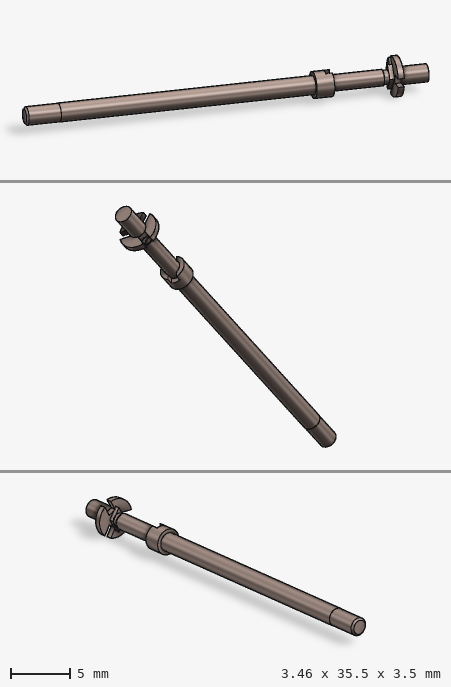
import cadquery as cq
import math

overall_length = 35.5
tip_length = 3.0
collar_front = 25.5
collar_length = 1.55
neck_start = 31.6
key_length = 0.43
disc_front = 32.5
disc_thickness = 0.55

tip_diameter = 1.6
barrel_diameter = 1.65
collar_diameter = 2.3
shank_diameter = 1.42
neck_diameter = 1.25
disc_diameter = 3.5
tail_diameter = 1.55

tip_chamfer = 0.18

slot_count = 3
slot_width = 0.75
slot_floor_radius = 0.75

notch_width = 0.8
notch_length = 0.57

key_width = 1.28
key_slope = 60.0

collar_rear = collar_front + collar_length
key_front = disc_front - key_length
disc_rear = disc_front + disc_thickness


def cylinder(diameter, y_start, y_end):
    """Cylinder on the Y axis between two stations."""
    base = cq.Workplane("XZ", origin=(0, y_start, 0))
    return base.circle(diameter / 2).extrude(y_start - y_end)


def make_shaft():
    """Stepped pin from the tip to the rear end of the neck."""
    tip = cylinder(tip_diameter, 0, tip_length).faces("<Y").chamfer(tip_chamfer)
    barrel = cylinder(barrel_diameter, tip_length, collar_front)
    shank = cylinder(shank_diameter, collar_front, neck_start)
    neck = cylinder(neck_diameter, neck_start, key_front)
    tail = cylinder(tail_diameter, disc_rear, overall_length)
    return tip.union(barrel).union(shank).union(neck).union(tail)


def make_collar():
    """Collar with two opposite notches that reach down to the shank."""
    collar = cylinder(collar_diameter, collar_front, collar_rear)
    notches = cq.Workplane("XY").box(notch_width, notch_length, collar_diameter)
    notches = notches.translate((0, collar_rear - notch_length / 2, 0))
    return collar.cut(notches)


def make_disc():
    """Flat disc cut by radial slots open to the rim."""
    disc = cylinder(disc_diameter, disc_front, disc_rear)
    slot_length = disc_diameter / 2
    slot = cq.Workplane("XY").box(slot_length, disc_thickness, slot_width)
    slot = slot.translate((slot_floor_radius + slot_length / 2, disc_front + disc_thickness / 2, 0))
    for index in range(slot_count):
        disc = disc.cut(slot.rotate((0, 0, 0), (0, 1, 0), index * 360 / slot_count))
    return disc


def make_key():
    """Rhombic prism joining the neck to the disc."""
    half_width = key_width / 2
    half_height = half_width * math.tan(math.radians(key_slope))
    corners = [(half_width, 0), (0, half_height), (-half_width, 0), (0, -half_height)]
    base = cq.Workplane("XZ", origin=(0, disc_front, 0))
    return base.polyline(corners).close().extrude(key_length)


result = make_shaft().union(make_collar()).union(make_disc()).union(make_key())